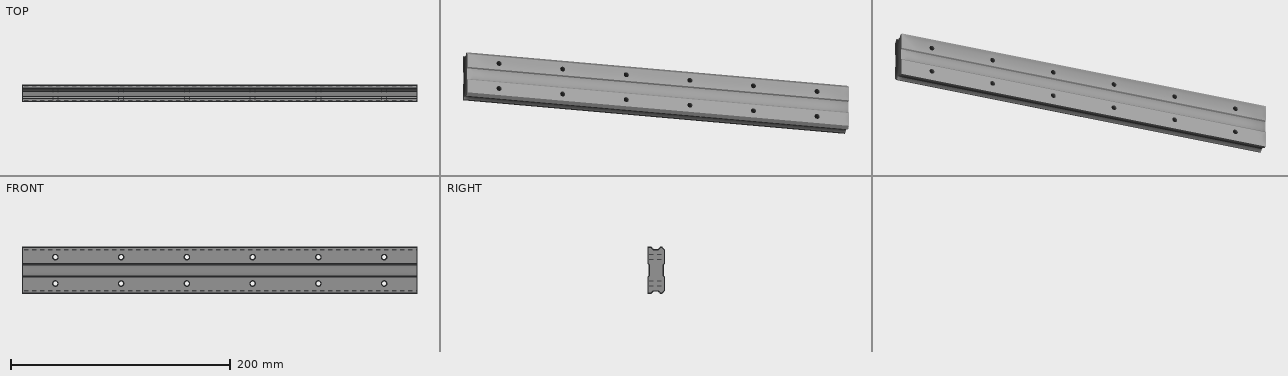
import cadquery as cq

length = 360.0
depth = 15.0
height = 42.0

front_land = 3.0
front_slope = 1.8
back_slope = 2.0
back_land = 1.0
edge_groove_depth = 2.0
back_chamfer = 2.5

recess_width = 12.2
recess_depth = 1.0

hole_diameter = 4.5
holes_per_row = 6
hole_pitch = length / holes_per_row
row_spacing = 24.0

half_depth = depth / 2
half_height = height / 2
recess_floor = recess_width / 2 - recess_depth


def make_rail():
    """Extrude the section, symmetric about Z = 0, along X."""
    groove_floor = half_height - edge_groove_depth
    groove_front = -half_depth + front_land
    groove_back = half_depth - back_chamfer - back_land
    upper_half = [
        (-half_depth + recess_depth, recess_floor),
        (-half_depth, recess_width / 2),
        (-half_depth, half_height),
        (groove_front, half_height),
        (groove_front + front_slope, groove_floor),
        (groove_back - back_slope, groove_floor),
        (groove_back, half_height),
        (half_depth - back_chamfer, half_height),
        (half_depth, half_height - back_chamfer),
        (half_depth, recess_width / 2),
        (half_depth - recess_depth, recess_floor),
    ]
    lower_half = [(y, -z) for y, z in reversed(upper_half)]
    section = cq.Workplane("YZ").polyline(upper_half + lower_half).close()
    return section.extrude(length / 2, both=True)


def make_holes():
    """Make the cylinders that pierce the rail from front to back."""
    return (
        cq.Workplane("XZ")
        .rarray(hole_pitch, row_spacing, holes_per_row, 2)
        .circle(hole_diameter / 2)
        .extrude(depth, both=True)
    )


result = make_rail().cut(make_holes())